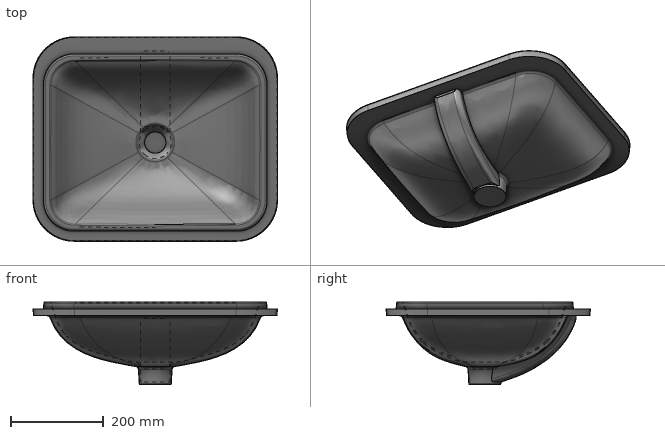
import cadquery as cq
import math

TOTAL_HEIGHT = 178
MARGIN = 0.1

FLANGE_LENGTH = 526.92
FLANGE_WIDTH = 440.43
FLANGE_CORNER = 89
FLANGE_TOP = -15
FLANGE_BOTTOM = -30
FLANGE_SHIFT_Y = 7.5
FLANGE_BLEND = 7

RIM_LENGTH = 482
RIM_WIDTH = 382
RIM_CORNER = 66
RIM_EDGE_RADIUS = 3.5
WALL_DRAFT = 5

OUTER_SECTIONS = [
    (FLANGE_BOTTOM, 228, 178.5, 0.02),
    (-60, 214, 165, 0.05),
    (-90, 187, 143, 0.1),
    (-112, 150.5, 117, 0.2),
    (-128.5, 99, 82, 0.5),
    (-139.5, 42.5, 42.5, 1),
]
OUTER_TOP_CORNER = 63
INNER_SECTIONS = [
    (0, 226, 177, 0.02),
    (-30, 217, 168, 0.03),
    (-60, 203, 155, 0.06),
    (-85, 179, 137, 0.12),
    (-104, 143, 111, 0.2),
    (-119, 95, 79, 0.5),
    (-130, 42, 42, 1),
]
INNER_TOP_CORNER = 52
LIP_RADIUS = 3

LONG_SIDE_TURN = math.radians(39)
SHORT_SIDE_TURN = math.radians(30)

RECESS_DEPTH = 15
RECESS_RADIUS = 37.5
RECESS_FLOOR_RADIUS = 23
RECESS_OVERLAP = 1
RECESS_MOUTH_DROP = 2

SPIGOT_TOP_RADIUS = 36.3
SPIGOT_BOTTOM_RADIUS = 34.4
SPIGOT_FLARE = 6
SPIGOT_OVERLAP = 2

DUCT_HALF_WIDTH = 32
DUCT_EDGE_RADIUS = 12
DUCT_BACK = [(197, -36), (177, -79), (136, -123), (85, -154), (35, -173)]


def drafted_block(length, width, corner, z_base, height, shift_y=0):
    """Rounded rectangle of full size at z_base; a negative height extends it downwards."""
    outline = cq.Sketch().rect(length, width).vertices().fillet(corner)
    return (
        cq.Workplane("XY", origin=(0, shift_y, z_base))
        .placeSketch(outline)
        .extrude(height, taper=WALL_DRAFT)
    )


def seam_reach(circle_reach, circle_side, top_reach, top_side, side, side_turn):
    """Half length of a side arc whose ends lie on the straight plan line from circle to top."""
    slope = (top_reach - circle_reach) / (top_side - circle_side)
    return (circle_reach + slope * (side - circle_side)) / (1 + slope * math.tan(side_turn / 2))


def section_wire(section, top, floor_radius, top_corner):
    """Closed bowl section of four side arcs and four corner arcs."""
    z, half_length, half_width, roundness = section
    top_half_length, top_half_width = top[1:3]
    long_turn = roundness * LONG_SIDE_TURN
    short_turn = roundness * SHORT_SIDE_TURN
    long_x = seam_reach(
        floor_radius * math.sin(LONG_SIDE_TURN), floor_radius * math.cos(LONG_SIDE_TURN),
        top_half_length - top_corner, top_half_width, half_width, long_turn,
    )
    long_y = half_width - long_x * math.tan(long_turn / 2)
    short_y = seam_reach(
        floor_radius * math.sin(SHORT_SIDE_TURN), floor_radius * math.cos(SHORT_SIDE_TURN),
        top_half_width - top_corner, top_half_length, half_length, short_turn,
    )
    short_x = half_length - short_y * math.tan(short_turn / 2)

    corner_turn = math.pi / 2 - long_turn - short_turn
    rise = math.tan(corner_turn / 4) / 2
    corner_x = (long_x + short_x) / 2 + (long_y - short_y) * rise
    corner_y = (long_y + short_y) / 2 + (short_x - long_x) * rise

    return (
        cq.Workplane("XY", origin=(0, 0, z))
        .moveTo(short_x, -short_y)
        .threePointArc((half_length, 0), (short_x, short_y))
        .threePointArc((corner_x, corner_y), (long_x, long_y))
        .threePointArc((0, half_width), (-long_x, long_y))
        .threePointArc((-corner_x, corner_y), (-short_x, short_y))
        .threePointArc((-half_length, 0), (-short_x, -short_y))
        .threePointArc((-corner_x, -corner_y), (-long_x, -long_y))
        .threePointArc((0, -half_width), (long_x, -long_y))
        .threePointArc((corner_x, -corner_y), (short_x, -short_y))
        .close()
        .val()
    )


def bowl_shape(sections, top_corner):
    floor_radius = sections[-1][1]
    wires = [section_wire(section, sections[0], floor_radius, top_corner) for section in sections]
    return cq.Workplane(cq.Solid.makeLoft(wires))


def quarter_bulge(start, end, corner):
    """Middle of the quarter ellipse from start to end that bends towards corner."""
    share = math.sqrt(0.5)
    centre = (start[0] + end[0] - corner[0], start[1] + end[1] - corner[1])
    return tuple(middle + share * (tip - middle) for middle, tip in zip(centre, corner))


def revolved(half_profile):
    """Solid of revolution about Z from an open half profile that starts and ends on the axis."""
    return half_profile.close().revolve(360, (0, 0, 0), (0, 1, 0))


def make_spigot():
    """Tapered spigot with a concave flare where it meets the bowl."""
    floor_z, floor_radius = OUTER_SECTIONS[-1][:2]
    flare_start = (SPIGOT_TOP_RADIUS, floor_z - SPIGOT_FLARE)
    flare_end = (floor_radius, floor_z)
    flare_middle = quarter_bulge(flare_start, flare_end, (SPIGOT_TOP_RADIUS, floor_z))
    return revolved(
        cq.Workplane("XZ")
        .moveTo(0, -TOTAL_HEIGHT)
        .lineTo(SPIGOT_BOTTOM_RADIUS, -TOTAL_HEIGHT)
        .lineTo(*flare_start)
        .threePointArc(flare_middle, flare_end)
        .lineTo(SPIGOT_BOTTOM_RADIUS, floor_z + SPIGOT_OVERLAP)
        .lineTo(0, floor_z + SPIGOT_OVERLAP)
    )


def make_recess():
    """Blind conical drain recess with a rounded mouth."""
    mouth_z, mouth_radius = INNER_SECTIONS[-1][:2]
    recess_floor = mouth_z - RECESS_DEPTH
    cone_top = (RECESS_RADIUS, mouth_z - RECESS_MOUTH_DROP)
    mouth = (mouth_radius, mouth_z)
    mouth_middle = quarter_bulge(cone_top, mouth, (RECESS_RADIUS, mouth_z))
    return revolved(
        cq.Workplane("XZ")
        .moveTo(0, recess_floor)
        .lineTo(RECESS_FLOOR_RADIUS, recess_floor)
        .lineTo(*cone_top)
        .threePointArc(mouth_middle, mouth)
        .lineTo(mouth_radius, mouth_z + RECESS_OVERLAP)
        .lineTo(0, mouth_z + RECESS_OVERLAP)
    )


def make_duct():
    """Solid bar that follows the back of the bowl, with its two outer edges rounded."""
    back_top, back_bottom = DUCT_BACK[0], DUCT_BACK[-1]
    flange_middle = (FLANGE_TOP + FLANGE_BOTTOM) / 2
    bar = (
        cq.Workplane("YZ", origin=(-DUCT_HALF_WIDTH, 0, 0))
        .moveTo(0, back_bottom[1])
        .lineTo(*back_bottom)
        .spline(DUCT_BACK[-2::-1], includeCurrent=True)
        .lineTo(back_top[0], flange_middle)
        .lineTo(0, flange_middle)
        .close()
        .extrude(2 * DUCT_HALF_WIDTH)
    )
    back_face = cq.selectors.NearestToPointSelector((0, *DUCT_BACK[2]))
    return bar.faces(back_face).edges("not |X").fillet(DUCT_EDGE_RADIUS)


def edges_at_height(body, z, half_x, half_y):
    """Edges at height z whose middles lie inside a centred rectangle."""
    low = (-half_x - MARGIN, -half_y - MARGIN, z - MARGIN)
    high = (half_x + MARGIN, half_y + MARGIN, z + MARGIN)
    return body.edges(cq.selectors.BoxSelector(low, high))


def make_flange():
    return drafted_block(
        FLANGE_LENGTH, FLANGE_WIDTH, FLANGE_CORNER, FLANGE_TOP, FLANGE_BOTTOM - FLANGE_TOP, FLANGE_SHIFT_Y
    )


def make_rim():
    rim = drafted_block(RIM_LENGTH, RIM_WIDTH, RIM_CORNER, FLANGE_TOP, -FLANGE_TOP)
    return rim.faces(">Z").edges().fillet(RIM_EDGE_RADIUS)


body = bowl_shape(OUTER_SECTIONS, OUTER_TOP_CORNER).union(make_flange())
body = edges_at_height(body, FLANGE_BOTTOM, *OUTER_SECTIONS[0][1:3]).fillet(FLANGE_BLEND)
body = body.union(make_rim())
body = body.union(make_duct())
body = body.union(make_spigot())

body = body.cut(bowl_shape(INNER_SECTIONS, INNER_TOP_CORNER)).cut(make_recess())
result = edges_at_height(body, 0, *INNER_SECTIONS[0][1:3]).fillet(LIP_RADIUS)